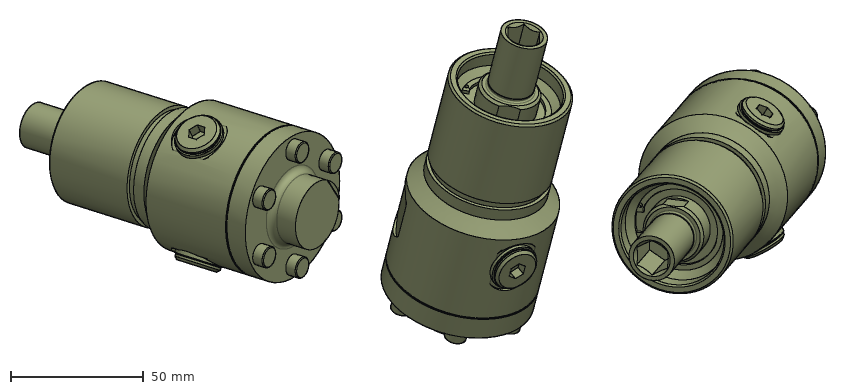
import cadquery as cq
import math

OVERLAP = 0.7

SHAFT_END = 24.2
BODY_START = 24.8
GROOVE_START, GROOVE_END = 62.1, 65.2
CONE_START, CONE_END = 70.0, 75.3
SEAM_X = 113.0
BODY_END = 122.1
HUB_END = 133.8
TOTAL_LENGTH = 134.2

BARREL_DIA = 48.0
BARREL_CHAMFER = 0.8
GROOVE_DIA = 45.1
HEAD_DIA = 59.0
SEAM_WIDTH, SEAM_DEPTH = 0.4, 0.4

BORE_RADIUS = 20.4
BORE_CHAMFER = 0.7
BORE_CONE_START, BORE_CONE_END = 30.7, 33.3
SEAT_RADIUS = 17.5
RING_THICKNESS = 1.3
BORE_FLOOR = BORE_CONE_END + RING_THICKNESS
RING_INNER_RADIUS = 15.3
RING_HALF_GAP = 4.2
RING_LUG_INNER_Y = 14.1
RING_LUG_HEIGHT = 3.6
RING_HOLE_DIA = 1.7
RING_HOLE_Y, RING_HOLE_Z = 15.3, 7.0

SHAFT_DIA = 18.0
NECK_DIA = 17.6
NECK_FLARE = 0.7
COLLAR_START = 25.6
COLLAR_DIA = 24.0
COLLAR_CHAMFER = 1.1
COLLAR_FLATS = 22.5
FLAT_LENGTH = 6.7
SOCKET_FLATS = 12.1
SOCKET_DEPTH = 16.1
SOCKET_TURN = 30
SOCKET_MOUTH_DIA = 14.6

PORT_X = 89.0
PORT_ANGLES = (0, 120, 240)
PLUG_ANGLES = PORT_ANGLES[1:]
SPOTFACE_DIA = 22.0
SPOTFACE_LEVEL = 28.3
WASHER_DIA = 19.0
WASHER_THICKNESS = 1.3
PLUG_NECK_DIA = 17.6
PLUG_NECK_HEIGHT = 0.4
PLUG_DIA = 18.0
PLUG_TOP = 32.1
PLUG_CHAMFER = 1.1
PLUG_SOCKET_FLATS = 6.2
PLUG_SOCKET_DEPTH = 4.0

HUB_DIA = 27.2
HUB_FILLET = 2.8
LIP_START_ANGLE, LIP_END_ANGLE = 7, 63
SCREW_COUNT = 6
FIRST_SCREW_ANGLE = 90
SCREW_CIRCLE_DIA = 47.8
SCREW_HEAD_DIA = 8.5
SCREW_HEAD_HEIGHT = 4.8
SCREW_CHAMFER = 0.4


def cylinder(start, end, diameter):
    """Cylinder on the X axis between two stations."""
    return cq.Workplane("YZ", origin=(start, 0, 0)).circle(diameter / 2).extrude(end - start)


def hexagon(plane, across_flats, turn=0):
    """Hexagon outline on a workplane; without a turn its corners lie on the local x axis."""
    corner_radius = across_flats / math.sqrt(3)
    angles = [math.radians(turn + 60 * i) for i in range(6)]
    return plane.polyline([(corner_radius * math.cos(a), corner_radius * math.sin(a)) for a in angles]).close()


def revolve_about_x(profile):
    return profile.close().revolve(360, (0, 0, 0), (1, 0, 0))


def turn_about_x(shape, angle):
    return shape.rotate((0, 0, 0), (1, 0, 0), angle)


def make_body():
    """Stepped housing with its ring groove, rear hub and narrow seam between the cover and the head."""
    barrel_radius = BARREL_DIA / 2
    groove_radius = GROOVE_DIA / 2
    head_radius = HEAD_DIA / 2
    hub_radius = HUB_DIA / 2
    outline = (
        cq.Workplane("XY")
        .moveTo(BODY_START, 0)
        .lineTo(BODY_START, barrel_radius - BARREL_CHAMFER)
        .lineTo(BODY_START + BARREL_CHAMFER, barrel_radius)
        .lineTo(GROOVE_START, barrel_radius)
        .lineTo(GROOVE_START, groove_radius)
        .lineTo(GROOVE_END, groove_radius)
        .lineTo(GROOVE_END, barrel_radius)
        .lineTo(CONE_START, barrel_radius)
        .lineTo(CONE_END, head_radius)
        .lineTo(BODY_END, head_radius)
        .lineTo(BODY_END, hub_radius + HUB_FILLET)
        .radiusArc((BODY_END + HUB_FILLET, hub_radius), -HUB_FILLET)
        .lineTo(HUB_END, hub_radius)
        .lineTo(HUB_END, 0)
    )
    seam = cylinder(SEAM_X - SEAM_WIDTH / 2, SEAM_X + SEAM_WIDTH / 2, HEAD_DIA).cut(
        cylinder(SEAM_X - SEAM_WIDTH, SEAM_X + SEAM_WIDTH, HEAD_DIA - 2 * SEAM_DEPTH)
    )
    return revolve_about_x(outline).cut(seam)


def make_bore():
    """Chamfered front recess that narrows through a cone to the retaining ring seat."""
    outline = (
        cq.Workplane("XY")
        .moveTo(BODY_START, 0)
        .lineTo(BODY_START, BORE_RADIUS + BORE_CHAMFER)
        .lineTo(BODY_START + BORE_CHAMFER, BORE_RADIUS)
        .lineTo(BORE_CONE_START, BORE_RADIUS)
        .lineTo(BORE_CONE_END, SEAT_RADIUS)
        .lineTo(BORE_FLOOR, SEAT_RADIUS)
        .lineTo(BORE_FLOOR, 0)
    )
    return revolve_about_x(outline)


def make_retaining_ring():
    """Open ring with its gap toward +Y and a drilled lug on either side of the gap."""
    ring_end = BORE_FLOOR + OVERLAP
    ring_length = ring_end - BORE_CONE_END
    outside = cylinder(BORE_CONE_END, ring_end, 2 * SEAT_RADIUS + OVERLAP)
    ring = outside.cut(cylinder(BORE_CONE_END, ring_end, 2 * RING_INNER_RADIUS))
    face = cq.Workplane("YZ", origin=(BORE_CONE_END, 0, 0))
    lugs = (
        face.pushPoints([(RING_LUG_INNER_Y + SEAT_RADIUS / 2, 0)])
        .rect(SEAT_RADIUS, 2 * (RING_HALF_GAP + RING_LUG_HEIGHT))
        .extrude(ring_length)
        .intersect(outside)
    )
    gap = face.pushPoints([(SEAT_RADIUS, 0)]).rect(SEAT_RADIUS, 2 * RING_HALF_GAP).extrude(RING_THICKNESS)
    holes = (
        face.pushPoints([(RING_HOLE_Y, RING_HOLE_Z), (RING_HOLE_Y, -RING_HOLE_Z)])
        .circle(RING_HOLE_DIA / 2)
        .extrude(RING_THICKNESS)
    )
    return ring.union(lugs).cut(gap).cut(holes)


def make_shaft():
    """Shaft with an undercut neck and a chamfered collar that has two flats facing up and down."""
    neck_radius = NECK_DIA / 2
    collar_radius = COLLAR_DIA / 2
    shaft_root = BORE_FLOOR + OVERLAP
    outline = (
        cq.Workplane("XY")
        .lineTo(0, SHAFT_DIA / 2)
        .lineTo(SHAFT_END, SHAFT_DIA / 2)
        .lineTo(SHAFT_END, neck_radius)
        .lineTo(COLLAR_START - NECK_FLARE, neck_radius)
        .radiusArc((COLLAR_START, neck_radius + NECK_FLARE), -NECK_FLARE)
        .lineTo(COLLAR_START, collar_radius - COLLAR_CHAMFER)
        .lineTo(COLLAR_START + COLLAR_CHAMFER, collar_radius)
        .lineTo(shaft_root, collar_radius)
        .lineTo(shaft_root, 0)
    )
    shaft = revolve_about_x(outline)
    for side in (1, -1):
        flat = cq.Workplane("XY").box(FLAT_LENGTH, COLLAR_DIA, COLLAR_DIA, centered=(False, True, True))
        shaft = shaft.cut(flat.translate((COLLAR_START, 0, side * (COLLAR_FLATS + COLLAR_DIA) / 2)))
    return shaft


def make_shaft_socket():
    """Hexagonal socket, corners up and down, with a conical mouth."""
    socket = hexagon(cq.Workplane("YZ"), SOCKET_FLATS, SOCKET_TURN).extrude(SOCKET_DEPTH)
    mouth_radius = SOCKET_MOUTH_DIA / 2
    mouth = revolve_about_x(cq.Workplane("XY").lineTo(0, mouth_radius).lineTo(mouth_radius, 0))
    return socket.union(mouth)


def make_spotface():
    """Cutter that faces the port seat flat and clears everything outside it along +Y."""
    plane = cq.Workplane("XZ", origin=(PORT_X, SPOTFACE_LEVEL, 0))
    return plane.circle(SPOTFACE_DIA / 2).extrude(SPOTFACE_LEVEL - HEAD_DIA)


def make_plug():
    """Plug standing on a sealing washer, pointing along +Y."""
    washer_top = SPOTFACE_LEVEL + WASHER_THICKNESS
    head_base = washer_top + PLUG_NECK_HEIGHT
    outline = (
        cq.Workplane("XY")
        .moveTo(0, SPOTFACE_LEVEL - OVERLAP)
        .lineTo(WASHER_DIA / 2, SPOTFACE_LEVEL - OVERLAP)
        .lineTo(WASHER_DIA / 2, washer_top)
        .lineTo(PLUG_NECK_DIA / 2, washer_top)
        .lineTo(PLUG_NECK_DIA / 2, head_base)
        .lineTo(PLUG_DIA / 2, head_base)
        .lineTo(PLUG_DIA / 2, PLUG_TOP - PLUG_CHAMFER)
        .lineTo(PLUG_DIA / 2 - PLUG_CHAMFER, PLUG_TOP)
        .lineTo(0, PLUG_TOP)
        .close()
    )
    return outline.revolve(360, (0, 0, 0), (0, 1, 0)).translate((PORT_X, 0, 0))


def make_plug_socket():
    plane = cq.Workplane("XZ", origin=(PORT_X, PLUG_TOP, 0))
    return hexagon(plane, PLUG_SOCKET_FLATS).extrude(PLUG_SOCKET_DEPTH)


def make_screw_heads():
    height = SCREW_HEAD_HEIGHT + OVERLAP
    return (
        cq.Workplane("YZ", origin=(BODY_END - OVERLAP, 0, 0))
        .polarArray(SCREW_CIRCLE_DIA / 2, FIRST_SCREW_ANGLE, 360, SCREW_COUNT)
        .circle(SCREW_HEAD_DIA / 2)
        .extrude(height)
        .faces(">X")
        .chamfer(SCREW_CHAMFER)
    )


def make_hub_lip():
    """Low raised segment on the hub face, bounded by the rim and a chord."""
    def rim_point(angle):
        radians = math.radians(angle)
        return (HUB_DIA / 2 * math.cos(radians), HUB_DIA / 2 * math.sin(radians))

    return (
        cq.Workplane("YZ", origin=(HUB_END - OVERLAP, 0, 0))
        .moveTo(*rim_point(LIP_START_ANGLE))
        .threePointArc(rim_point((LIP_START_ANGLE + LIP_END_ANGLE) / 2), rim_point(LIP_END_ANGLE))
        .close()
        .extrude(TOTAL_LENGTH - HUB_END + OVERLAP)
    )


body = make_body().cut(make_bore())
body = body.union(make_retaining_ring()).union(make_shaft()).cut(make_shaft_socket())
for angle in PORT_ANGLES:
    body = body.cut(turn_about_x(make_spotface(), angle))
for angle in PLUG_ANGLES:
    body = body.union(turn_about_x(make_plug(), angle)).cut(turn_about_x(make_plug_socket(), angle))
result = body.union(make_screw_heads()).union(make_hub_lip())